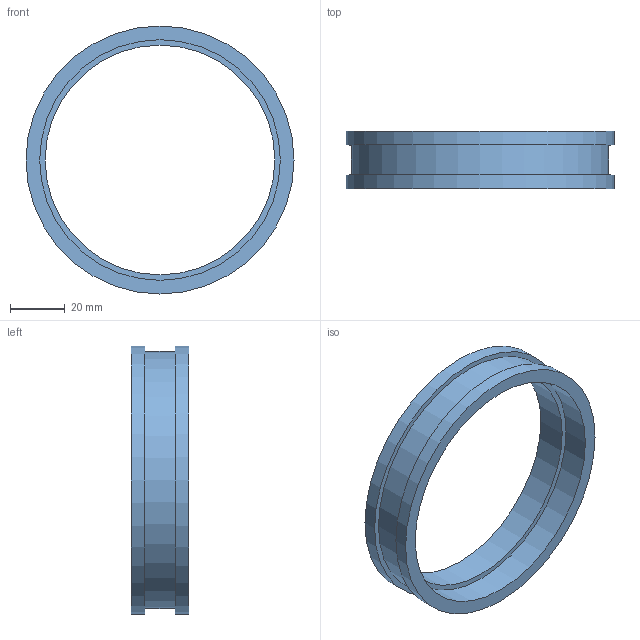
import cadquery as cq

outer_diameter = 98.0
width = 21.0
flange_width = 5.0
groove_diameter = 94.0
bore_diameter = 84.0
counterbore_diameter = 88.0
counterbore_depth = 10.0

groove_width = width - 2 * flange_width
front_y = -width / 2


def disc(diameter, length, start_y):
    """Solid cylinder along +Y, beginning at start_y."""
    return cq.Workplane("XZ", origin=(0, start_y, 0)).circle(diameter / 2).extrude(-length)


def outer_groove():
    """Band removed between the two end flanges."""
    groove_start = front_y + flange_width
    band = disc(outer_diameter, groove_width, groove_start)
    return band.cut(disc(groove_diameter, groove_width, groove_start))


def stepped_bore():
    """Through bore with a wider counterbore entering from the -Y face."""
    through_bore = disc(bore_diameter, width, front_y)
    return through_bore.union(disc(counterbore_diameter, counterbore_depth, front_y))


result = disc(outer_diameter, width, front_y).cut(outer_groove()).cut(stepped_bore())